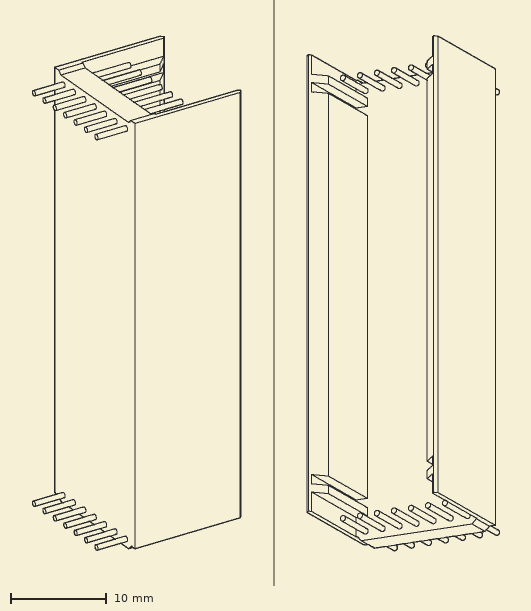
import cadquery as cq

width = 15.4
total_depth = 17.1
total_height = 50.35
tab_length = 0.5
wall_height = total_height - tab_length
channel_depth = 13.45
floor_thickness = 3.0
wall_thickness = 0.6
tip_bevel = 0.35

tab_tip_width = 13.0
notch_depth = 0.4

rib_projection = 1.3
rib_thickness = 0.9
rib_gap = 1.0
rib_top_offset = 2.1

pin_count = 7
pin_row_width = 12.0
pin_pitch = pin_row_width / (pin_count - 1)
pin_diameter = 0.6
pin_outer_length = total_depth - channel_depth
pin_inner_length = 5.2
bottom_pin_height = 0.45
pin_row_spacing = 48.1

half_width = width / 2
wall_inner_x = half_width - wall_thickness
rib_inner_x = wall_inner_x - rib_projection
tip_x = half_width - tip_bevel


def make_floor():
    """Floor plate across the full width."""
    return cq.Workplane("XY").box(width, floor_thickness, wall_height, centered=(True, False, False))


def make_wall():
    """Side wall at +X with a bevelled outer tip and a tapered inner tip."""
    inner_tip_y = channel_depth - (tip_x - wall_inner_x)
    return (
        cq.Workplane("XY")
        .moveTo(wall_inner_x, 0)
        .lineTo(half_width, 0)
        .lineTo(half_width, channel_depth - tip_bevel)
        .lineTo(tip_x, channel_depth)
        .lineTo(wall_inner_x, inner_tip_y)
        .close()
        .extrude(wall_height)
    )


def make_rib(bottom, top):
    """Rib on the +X wall whose end continues the 45 degree taper of the wall tip."""
    end_y = channel_depth - (tip_x - rib_inner_x)
    return (
        cq.Workplane("XY")
        .workplane(offset=bottom)
        .moveTo(rib_inner_x, 0)
        .lineTo(tip_x, 0)
        .lineTo(tip_x, channel_depth)
        .lineTo(rib_inner_x, end_y)
        .close()
        .extrude(top - bottom)
    )


def make_tongue(bottom, length):
    """Tapered tongue as thick as the floor, narrowing downward at 45 degrees."""
    tip = tab_tip_width / 2
    root = tip + length
    return (
        cq.Workplane("XZ")
        .polyline([(-root, bottom + length), (-tip, bottom), (tip, bottom), (root, bottom + length)])
        .close()
        .extrude(-floor_thickness)
    )


def make_pin_row(height):
    """Row of round pins passing through the floor along Y."""
    return (
        cq.Workplane("XZ", origin=(0, -pin_outer_length, height))
        .rarray(pin_pitch, 0.5, pin_count, 1)
        .circle(pin_diameter / 2)
        .extrude(-(pin_outer_length + floor_thickness + pin_inner_length))
    )


upper_rib_top = wall_height - rib_top_offset
upper_rib_bottom = upper_rib_top - rib_thickness
middle_rib_top = upper_rib_bottom - rib_gap

side = make_wall()
side = side.union(make_rib(upper_rib_bottom, upper_rib_top))
side = side.union(make_rib(wall_height - middle_rib_top, middle_rib_top))
side = side.union(make_rib(wall_height - upper_rib_top, wall_height - upper_rib_bottom))

result = make_floor().union(side).union(side.mirror("YZ"))
result = result.union(make_tongue(-tab_length, tab_length))
result = result.cut(make_tongue(wall_height - notch_depth, notch_depth))
for row_height in (bottom_pin_height, bottom_pin_height + pin_row_spacing):
    result = result.union(make_pin_row(row_height))